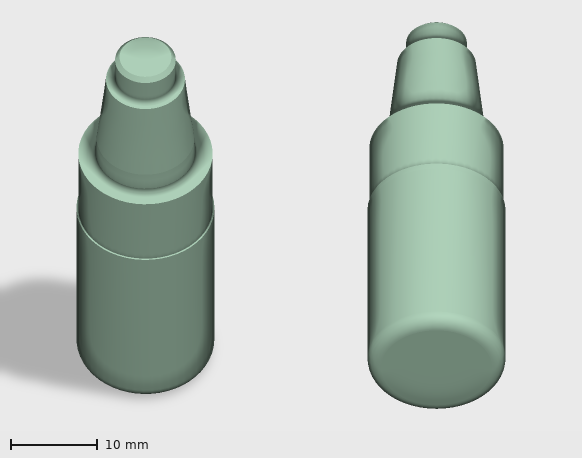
import cadquery as cq

total_height = 51.1
housing_radius = 15.9 / 2
collar_radius = 15.5 / 2
tip_radius = 7.0 / 2

housing_top = 23.8
bottom_round = 1.55

flange_top = 24.6
collar_top = 34.15
boss_root_radius = 6.15
root_fillet = 0.45
boss_foot_radius = 5.75
taper_bottom = 36.9
taper_bottom_radius = 5.6
foot_waist_radius = 5.65
taper_top = 47.2
taper_top_radius = 4.55
tip_fillet = 0.45
tip_chamfer = 0.5


def make_housing():
    """Solid cylinder with its bottom edge rounded."""
    return (
        cq.Workplane("XY")
        .circle(housing_radius)
        .extrude(housing_top)
        .faces("<Z")
        .edges()
        .fillet(bottom_round)
    )


def make_plunger():
    """Revolved flange, collar, tapered boss and tip on the Z axis."""
    boss_foot = collar_top + root_fillet
    foot_middle = (boss_foot + taper_bottom) / 2
    profile = (
        cq.Workplane("XZ")
        .moveTo(0, housing_top)
        .lineTo(housing_radius, housing_top)
        .lineTo(housing_radius, flange_top)
        .lineTo(collar_radius, flange_top)
        .lineTo(collar_radius, collar_top)
        .lineTo(boss_root_radius, collar_top)
        .tangentArcPoint((boss_foot_radius, boss_foot), relative=False)
        .threePointArc((foot_waist_radius, foot_middle), (taper_bottom_radius, taper_bottom))
        .lineTo(taper_top_radius, taper_top)
        .lineTo(tip_radius + tip_fillet, taper_top)
        .tangentArcPoint((tip_radius, taper_top + tip_fillet), relative=False)
        .lineTo(tip_radius, total_height - tip_chamfer)
        .lineTo(tip_radius - tip_chamfer, total_height)
        .lineTo(0, total_height)
        .close()
    )
    return profile.revolve(360, (0, 0, 0), (0, 1, 0))


housing = make_housing()
plunger = make_plunger()

result = cq.Compound.makeCompound([housing.val(), plunger.val()])